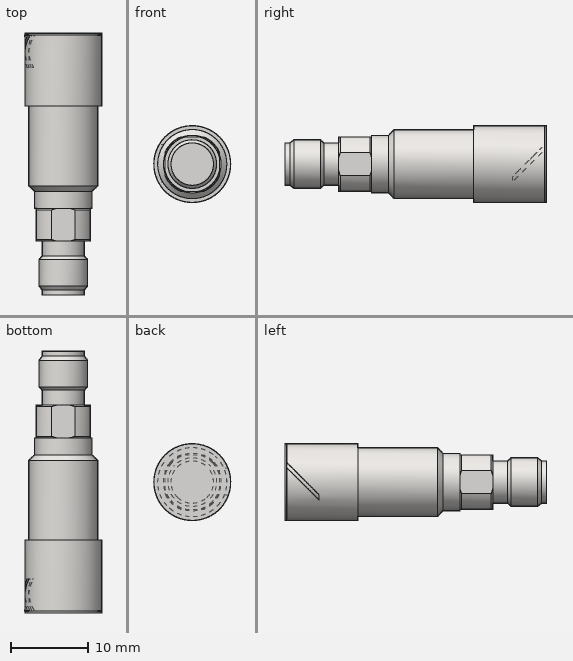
import cadquery as cq
import math

total_length = 34.0
tip_end = 0.65
plug_front = 1.2
plug_back = 4.62
neck_start = 5.05
nut_front = 7.0
nut_back = 11.25
collar_end = 13.45
body_start = 14.18
shoulder = 24.5
ring_seat = 29.55
end_flange = 0.25

neck_radius = 2.75
plug_radius = 3.15
nut_radius = 3.85
collar_radius = 3.75
body_radius = 4.5
head_radius = 5.0

flat_count = 4
flat_distance = 3.55
nut_chamfer = 0.2

ring_thickness = 0.5
ring_clearance = 0.05
slit_width = 0.48
slit_angle = 45.0
slit_height = 0.1

tip_y = -total_length / 2
ring_end = total_length - end_flange - ring_clearance


def turned_blank():
    """Revolve the half profile about the Y axis; points are (radius, station)."""
    profile = [
        (0, 0),
        (neck_radius, 0),
        (neck_radius, tip_end),
        (plug_radius, plug_front),
        (plug_radius, plug_back),
        (neck_radius, neck_start),
        (neck_radius, nut_back),
        (collar_radius, nut_back),
        (collar_radius, collar_end),
        (body_radius, body_start),
        (body_radius, shoulder),
        (head_radius, shoulder),
        (head_radius, ring_end),
        (head_radius - ring_thickness, ring_end),
        (head_radius - ring_thickness, total_length - end_flange),
        (head_radius, total_length - end_flange),
        (head_radius, total_length),
        (0, total_length),
    ]
    return (
        cq.Workplane("XY")
        .polyline([(radius, tip_y + station) for radius, station in profile])
        .close()
        .revolve(360, (0, 0, 0), (0, 1, 0))
    )


def along_axis(start):
    """Workplane across the axis at a station, with its normal toward +Y."""
    return cq.Workplane("XZ", origin=(0, tip_y + start, 0)).transformed(rotate=(180, 0, 0))


def wrench_nut():
    """Round nut with chamfered rims and flats evenly spaced around it."""
    length = nut_back - nut_front
    nut = along_axis(nut_front).circle(nut_radius).extrude(length)
    nut = nut.faces("<Y or >Y").chamfer(nut_chamfer)
    flats = along_axis(nut_front).polygon(flat_count, 2 * flat_distance / math.cos(math.pi / flat_count))
    envelope = flats.extrude(length).rotate((0, 0, 0), (0, 1, 0), 180 / flat_count)
    return nut.intersect(envelope)


def ring_slit():
    """Slanted slit through the split ring on the -X side, down to the core under the ring."""
    ring_length = ring_end - ring_seat
    ring_middle = tip_y + (ring_seat + ring_end) / 2
    ring = (
        along_axis(ring_seat)
        .circle(head_radius)
        .circle(head_radius - ring_thickness)
        .extrude(ring_length)
    )
    bar = (
        cq.Workplane("XY")
        .box(head_radius, 2 * ring_length, slit_width)
        .rotate((0, 0, 0), (1, 0, 0), slit_angle)
        .translate((-head_radius, ring_middle, slit_height))
    )
    return ring.intersect(bar)


result = turned_blank().union(wrench_nut()).cut(ring_slit())